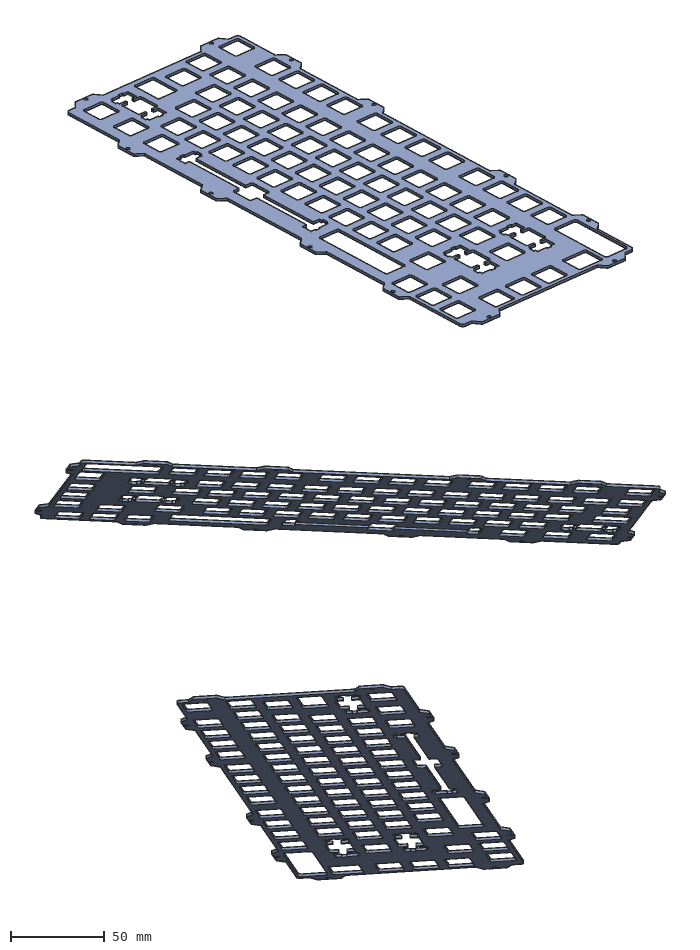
import cadquery as cq

KEY_PITCH = 19.05
THICKNESS = 1.6
BODY_LENGTH = 16.5 * KEY_PITCH
BODY_WIDTH = 6.5 * KEY_PITCH
BODY_CORNER_RADIUS = 2.0

TAB_REACH = 4.53
TAB_TIP_WIDTH = 12.7
TAB_BASE_WIDTH = 19.8
TAB_TIP_RADIUS = 1.0
TAB_OVERLAP = 1.0
TAB_HOLE_DIAMETER = 2.2
TAB_HOLE_TO_TIP = 1.7
TOP_TAB_XS = (-117.9, -52.4, 52.4, 117.9)
BOTTOM_TAB_XS = (-105.2, -39.4, 39.4, 105.2)
SIDE_TAB_YS = (-45.3, 45.3)

SWITCH_SIZE = 14.0
CUTOUT_RADIUS = 1.0

ROW_FUNCTION = 2.75
ROW_NUMBER = 1.5
ROW_UPPER = 0.5
ROW_HOME = -0.5
ROW_LOWER = -1.5
ROW_SPACE = -2.5
ROW_ARROW_UP = -1.75
ROW_ARROWS = -2.75
FIRST_COLUMN = -7.75
LAST_COLUMN = 7.75


def key_run(first, count):
    """Positions of neighbouring keys one pitch apart, starting at `first`."""
    return [first + i for i in range(count)]


SWITCH_ROWS = {
    ROW_FUNCTION: [FIRST_COLUMN] + key_run(-6.25, 4) + key_run(-2, 4) + key_run(2.25, 4),
    ROW_NUMBER: key_run(FIRST_COLUMN, 13),
    ROW_UPPER: [-7.5] + key_run(-6.25, 12) + [6, LAST_COLUMN],
    ROW_HOME: key_run(-6, 11) + [LAST_COLUMN],
    ROW_LOWER: key_run(-5.5, 10) + [4.875, LAST_COLUMN],
    ROW_SPACE: [-7.625, -6.375, -5.125],
    ROW_ARROW_UP: [6.5],
    ROW_ARROWS: key_run(5.5, 3),
}

CAPS_LOCK_COLUMN = -7.55
CAPS_LOCK_SIZE = (19.5, SWITCH_SIZE)
DELETE_ROW = 1.75
DELETE_SIZE = (SWITCH_SIZE, 17.0)
DISPLAY_COLUMN = 7
DISPLAY_SIZE = (42.0, 16.0)
DISPLAY_RADIUS = 1.8
MODIFIER_COLUMN = 3.25
MODIFIER_SIZE = (53.8, SWITCH_SIZE)

TWO_UNIT_KEYS = [(-7.125, ROW_LOWER), (5.75, ROW_NUMBER), (5.625, ROW_HOME)]
SPACEBAR_KEY = (-1.375, ROW_SPACE)

TWO_UNIT_STAB_OFFSET = 11.9
SPACEBAR_STAB_OFFSET = 50.0
STAB_WIDTH = 6.75
STAB_TOP = 5.4
STAB_BOTTOM = -6.77
STAB_FOOT_WIDTH = 3.3
STAB_FOOT_BOTTOM = -7.97
STAB_EAR_REACH = 4.2
STAB_EAR_TOP = 2.3
STAB_EAR_BOTTOM = -0.5
STAB_CHANNEL_HEIGHT = 4.7


def rounded_block(size, radius):
    """Full-thickness block centred on the origin, with rounded vertical edges."""
    block = cq.Workplane("XY").box(*size, THICKNESS, centered=(True, True, False))
    return block.edges("|Z").fillet(radius)


def place_on_grid(shape, column, row):
    """Move a shape from the origin to a position given in key pitches."""
    return shape.translate((column * KEY_PITCH, row * KEY_PITCH, 0))


def make_tab():
    """Tapered tab pointing to +Y with a screw hole; its base lies on the X axis."""
    half_base = TAB_BASE_WIDTH / 2
    half_tip = TAB_TIP_WIDTH / 2
    outline = [
        (-half_base, -TAB_OVERLAP),
        (half_base, -TAB_OVERLAP),
        (half_base, 0),
        (half_tip, TAB_REACH),
        (-half_tip, TAB_REACH),
        (-half_base, 0),
    ]
    tab = cq.Workplane("XY").polyline(outline).close().extrude(THICKNESS)
    tab = tab.edges("|Z and >Y").fillet(TAB_TIP_RADIUS)
    hole_center = cq.Workplane("XY").center(0, TAB_REACH - TAB_HOLE_TO_TIP)
    return tab.cut(hole_center.circle(TAB_HOLE_DIAMETER / 2).extrude(THICKNESS))


def make_plate():
    """Rounded body with mounting tabs on all four sides."""
    half_length = BODY_LENGTH / 2
    half_width = BODY_WIDTH / 2
    tab_places = [(x, half_width, 0) for x in TOP_TAB_XS]
    tab_places += [(x, -half_width, 180) for x in BOTTOM_TAB_XS]
    tab_places += [(-half_length, y, 90) for y in SIDE_TAB_YS]
    tab_places += [(half_length, y, -90) for y in SIDE_TAB_YS]

    plate = rounded_block((BODY_LENGTH, BODY_WIDTH), BODY_CORNER_RADIUS)
    tab = make_tab()
    for x, y, angle in tab_places:
        plate = plate.union(tab.rotate((0, 0, 0), (0, 0, 1), angle).translate((x, y, 0)))
    return plate


def switch_cutouts():
    """One rounded square for every ordinary key."""
    switch = rounded_block((SWITCH_SIZE, SWITCH_SIZE), CUTOUT_RADIUS)
    return [
        place_on_grid(switch, column, row)
        for row, columns in SWITCH_ROWS.items()
        for column in columns
    ]


def enlarged_cutouts():
    """Openings larger than one switch."""
    caps_lock = rounded_block(CAPS_LOCK_SIZE, CUTOUT_RADIUS)
    delete = rounded_block(DELETE_SIZE, CUTOUT_RADIUS)
    display = rounded_block(DISPLAY_SIZE, DISPLAY_RADIUS)
    modifiers = rounded_block(MODIFIER_SIZE, CUTOUT_RADIUS)
    return [
        place_on_grid(caps_lock, CAPS_LOCK_COLUMN, ROW_HOME),
        place_on_grid(delete, LAST_COLUMN, DELETE_ROW),
        place_on_grid(display, DISPLAY_COLUMN, ROW_FUNCTION),
        place_on_grid(modifiers, MODIFIER_COLUMN, ROW_SPACE),
    ]


def stabilised_cutout(offset):
    """Switch opening joined by a channel to a stabiliser opening on each side."""
    half_channel = STAB_CHANNEL_HEIGHT / 2
    inner = offset - STAB_WIDTH / 2
    outer = offset + STAB_WIDTH / 2
    ear = offset + STAB_EAR_REACH
    foot_inner = offset - STAB_FOOT_WIDTH / 2
    foot_outer = offset + STAB_FOOT_WIDTH / 2
    right_side = [
        (inner, half_channel),
        (inner, STAB_TOP),
        (outer, STAB_TOP),
        (outer, STAB_EAR_TOP),
        (ear, STAB_EAR_TOP),
        (ear, STAB_EAR_BOTTOM),
        (outer, STAB_EAR_BOTTOM),
        (outer, STAB_BOTTOM),
        (foot_outer, STAB_BOTTOM),
        (foot_outer, STAB_FOOT_BOTTOM),
        (foot_inner, STAB_FOOT_BOTTOM),
        (foot_inner, STAB_BOTTOM),
        (inner, STAB_BOTTOM),
        (inner, -half_channel),
    ]
    left_side = [(-x, y) for x, y in reversed(right_side)]
    stabiliser = cq.Workplane("XY").polyline(right_side + left_side).close().extrude(THICKNESS)
    return stabiliser.union(rounded_block((SWITCH_SIZE, SWITCH_SIZE), CUTOUT_RADIUS))


def stabilised_cutouts():
    """Three two-unit keys, and the spacebar with its stabilisers turned half round."""
    two_unit = stabilised_cutout(TWO_UNIT_STAB_OFFSET)
    spacebar = stabilised_cutout(SPACEBAR_STAB_OFFSET).rotate((0, 0, 0), (0, 0, 1), 180)
    cutouts = [place_on_grid(two_unit, column, row) for column, row in TWO_UNIT_KEYS]
    return cutouts + [place_on_grid(spacebar, *SPACEBAR_KEY)]


cutouts = switch_cutouts() + enlarged_cutouts() + stabilised_cutouts()
cutout_solids = [cutout.val() for cutout in cutouts]
result = cq.Workplane(make_plate().val().cut(*cutout_solids)).solids()